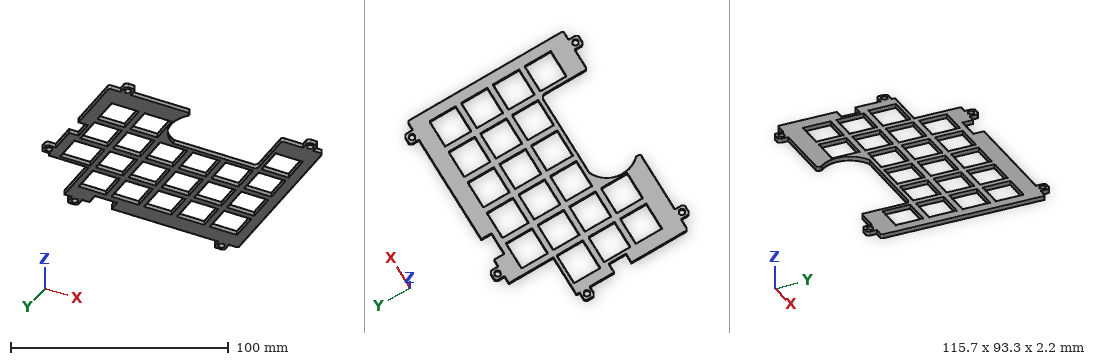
import cadquery as cq
import math

thickness = 2.2
length = 115.7
width = 93.3
tab_reach = 4.9
corner_radius = 1.0

body_left = tab_reach
body_bottom = tab_reach
body_top = width - tab_reach
shoulder_y = 64.6

key_pitch = 17.0
key_size = 14.0
first_key_x = 11.5
first_key_y = 14.7
wide_key_extra = 1.5
key_columns_by_row = [
    (0, 1, 5),
    (0, 1, 2, 3, 4, 5),
    (0, 1, 2, 3, 4, 5),
    (1, 2, 3, 4, 5),
]
wide_key_row = 2
upper_left = first_key_x + key_size

side_notch_depth = 4.9
side_notch_bottom = 35.0
side_notch_top = 44.3
top_notch_depth = 5.4
top_notch_left = 38.5
top_notch_right = 50.0

opening_top = 29.5
opening_right = 94.5
opening_lip_x = 47.1
opening_corner_radius = 2.0
arc_radius = 14.0
arc_center_x = 57.3
arc_center_y = 16.8

tab_width = 5.4
tab_corner_radius = 1.5
screw_hole_diameter = 3.0
screw_hole_inset = 2.8
tab_overlap = 1.2
right_tab_x = 108.2
top_tab_xs = (32.0, right_tab_x)
bottom_tab_xs = (13.5, right_tab_x)
left_tab_y = 60.2


def block(left, bottom, right, top):
    """Full-thickness rectangular block between two opposite corners."""
    return (
        cq.Workplane("XY")
        .box(right - left, top - bottom, thickness, centered=False)
        .translate((left, bottom, 0))
    )


def round_corner(plate, x, y, radius):
    """Fillet the upright edge that stands at (x, y)."""
    corner = cq.selectors.NearestToPointSelector((x, y, thickness / 2))
    return plate.edges("|Z").edges(corner).fillet(radius)


def body():
    """Stepped plate with the arc-ended opening in its bottom edge."""
    lip_y = arc_center_y - math.sqrt(arc_radius**2 - (arc_center_x - opening_lip_x) ** 2)
    arc_top_x = arc_center_x - math.sqrt(arc_radius**2 - (opening_top - arc_center_y) ** 2)
    plate = (
        cq.Workplane("XY")
        .moveTo(body_left, body_bottom)
        .lineTo(opening_lip_x, body_bottom)
        .lineTo(opening_lip_x, lip_y)
        .threePointArc((arc_center_x - arc_radius, arc_center_y), (arc_top_x, opening_top))
        .lineTo(opening_right, opening_top)
        .lineTo(opening_right, body_bottom)
        .lineTo(length, body_bottom)
        .lineTo(length, body_top)
        .lineTo(upper_left, body_top)
        .lineTo(upper_left, shoulder_y)
        .lineTo(body_left, shoulder_y)
        .close()
        .extrude(thickness)
    )
    outer_corners = [
        (body_left, body_bottom),
        (opening_lip_x, body_bottom),
        (opening_right, body_bottom),
        (length, body_bottom),
        (length, body_top),
    ]
    for x, y in outer_corners:
        plate = round_corner(plate, x, y, corner_radius)
    return round_corner(plate, opening_right, opening_top, opening_corner_radius)


def screw_tab(x, y, angle):
    """Tab with a screw hole, its outer end centred at (x, y); angle 0 points along +Y."""
    tab = (
        cq.Workplane("XY")
        .box(tab_width, tab_reach + tab_overlap, thickness, centered=(True, False, False))
        .translate((0, -tab_reach - tab_overlap, 0))
        .edges("|Z and >Y")
        .fillet(tab_corner_radius)
    )
    hole = (
        cq.Workplane("XY")
        .center(0, -screw_hole_inset)
        .circle(screw_hole_diameter / 2)
        .extrude(thickness)
    )
    return tab.cut(hole).rotate((0, 0, 0), (0, 0, 1), angle).translate((x, y, 0))


def key_opening(row, column):
    """Cutter for one key; the leftmost key of the wide row extends further left."""
    left = first_key_x + column * key_pitch
    bottom = first_key_y + row * key_pitch
    is_wide = row == wide_key_row and column == 0
    extra = wide_key_extra if is_wide else 0
    return block(left - extra, bottom, left + key_size, bottom + key_size)


result = body()

for tab_x in top_tab_xs:
    result = result.union(screw_tab(tab_x, width, 0))
for tab_x in bottom_tab_xs:
    result = result.union(screw_tab(tab_x, 0, 180))
result = result.union(screw_tab(0, left_tab_y, 90))

for row, columns in enumerate(key_columns_by_row):
    for column in columns:
        result = result.cut(key_opening(row, column))

side_notch_right = body_left + side_notch_depth
result = result.cut(block(body_left, side_notch_bottom, side_notch_right, side_notch_top))
result = result.cut(block(top_notch_left, body_top - top_notch_depth, top_notch_right, body_top))